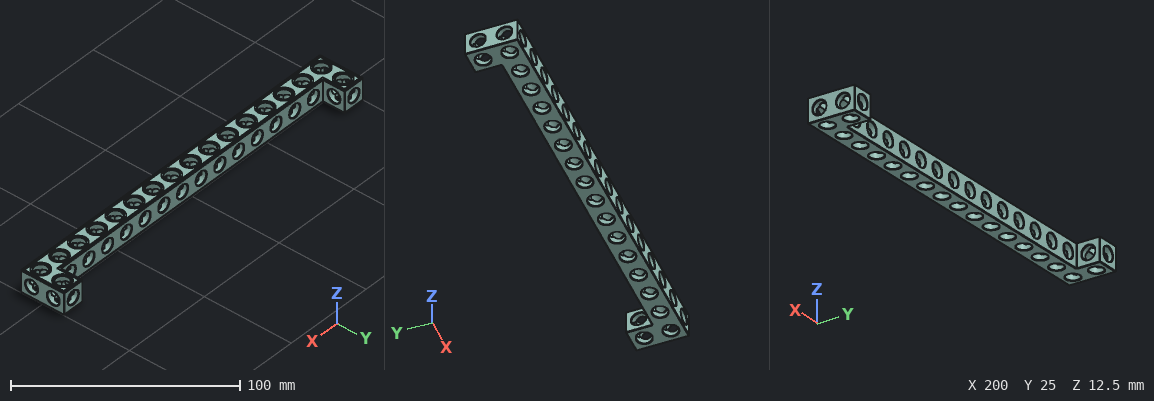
import cadquery as cq

length = 200.0
modules_along_length = 16
pitch = length / modules_along_length
module_rows = 2
depth = module_rows * pitch
height = pitch

hole_diameter = 7.0
edge_chamfer = 0.3

recess_depth = 0.2
rim_width = 1.1
ring_diameter = 9.2

column_x = [(i + 0.5) * pitch - length / 2 for i in range(modules_along_length)]
row_y = [(j + 0.5) * pitch - depth / 2 for j in range(module_rows)]
bar_points = [(x, row_y[0]) for x in column_x]
foot_points = [(x, row_y[1]) for x in (column_x[0], column_x[-1])]
vertical_points = bar_points + foot_points


def make_slab(bottom, thickness, inset=0):
    """U-shaped slab whose outline is pulled in by inset on every side."""
    outer_x = length / 2 - inset
    inner_x = length / 2 - pitch + inset
    front_y = -depth / 2 + inset
    bar_back_y = -depth / 2 + pitch - inset
    foot_back_y = depth / 2 - inset
    outline = [
        (-outer_x, front_y),
        (outer_x, front_y),
        (outer_x, foot_back_y),
        (inner_x, foot_back_y),
        (inner_x, bar_back_y),
        (-inner_x, bar_back_y),
        (-inner_x, foot_back_y),
        (-outer_x, foot_back_y),
    ]
    return cq.Workplane("XY").workplane(offset=bottom).polyline(outline).close().extrude(thickness)


def make_drill(span):
    """Cutter along Z, centred on the origin, that flares at both ends to chamfer the hole mouths."""
    hole_radius = hole_diameter / 2
    mouth_radius = hole_radius + edge_chamfer
    half_span = span / 2
    profile = [
        (0, -half_span),
        (mouth_radius, -half_span),
        (hole_radius, -half_span + edge_chamfer),
        (hole_radius, half_span - edge_chamfer),
        (mouth_radius, half_span),
        (0, half_span),
    ]
    return cq.Workplane("XZ").polyline(profile).close().revolve(360, (0, 0, 0), (0, 1, 0))


def drill_vertical_holes(body):
    """Through holes along Z, one in every module."""
    drill = make_drill(height)
    for x, y in vertical_points:
        body = body.cut(drill.translate((x, y, 0)))
    return body


def drill_front_holes(body):
    """Through holes along Y; those in the end columns also pass through the feet."""
    bar_drill = make_drill(pitch).rotate((0, 0, 0), (1, 0, 0), 90).translate((0, row_y[0], 0))
    foot_drill = make_drill(depth).rotate((0, 0, 0), (1, 0, 0), 90)
    for x in column_x:
        drill = foot_drill if x in (column_x[0], column_x[-1]) else bar_drill
        body = body.cut(drill.translate((x, 0, 0)))
    return body


def drill_end_holes(body):
    """Through holes along X: one the full length of the bar, one across each foot."""
    bar_drill = make_drill(length).rotate((0, 0, 0), (0, 1, 0), 90)
    foot_drill = make_drill(pitch).rotate((0, 0, 0), (0, 1, 0), 90)
    body = body.cut(bar_drill.translate((0, row_y[0], 0)))
    for x, y in foot_points:
        body = body.cut(foot_drill.translate((x, y, 0)))
    return body


def cut_top_recess(body):
    """Lower the top face inside the rim, except for the ring around each hole."""
    floor_z = height / 2 - recess_depth
    rings = (
        cq.Workplane("XY")
        .workplane(offset=floor_z)
        .pushPoints(vertical_points)
        .circle(ring_diameter / 2)
        .extrude(recess_depth)
    )
    return body.cut(make_slab(floor_z, recess_depth, rim_width).cut(rings))


result = make_slab(-height / 2, height).edges().chamfer(edge_chamfer)
result = drill_vertical_holes(result)
result = drill_front_holes(result)
result = drill_end_holes(result)
result = cut_top_recess(result)